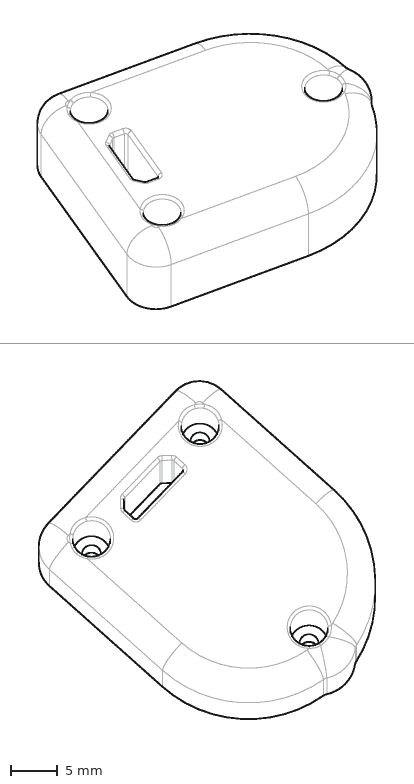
import cadquery as cq

width = 27.0
length = 34.0
height = 9.5
half_width = width / 2
arc_center_y = 19.92
corner_radius = 3.5
edge_radius = 3.0

lobe_radius = 4.0
lobe_center_y = length - lobe_radius
lobe_blend_radius = 1.0

screw_hole_diameter = 2.05
counterbore_diameter = 4.0
counterbore_depth = 6.5
rim_radius = 0.35
screw_half_spacing = 8.5
front_screw_y = 5.0
end_screw_y = 28.7
screw_positions = [
    (-screw_half_spacing, front_screw_y),
    (screw_half_spacing, front_screw_y),
    (0, end_screw_y),
]

slot_width = 7.58
slot_front_y = 4.5
slot_depth = 2.6
slot_corner_cut = 0.92
slot_corner_radius = 0.3
slot_rim_radius = 0.4


def make_body():
    """Outline with its semicircular end and blended lobe, extruded and rounded on top."""
    block = (
        cq.Workplane("XY")
        .moveTo(-half_width, 0)
        .lineTo(half_width, 0)
        .lineTo(half_width, arc_center_y)
        .threePointArc((0, arc_center_y + half_width), (-half_width, arc_center_y))
        .close()
        .extrude(height)
        .edges("|Z and <Y")
        .fillet(corner_radius)
    )
    lobe = (
        cq.Workplane("XY")
        .center(0, lobe_center_y)
        .circle(lobe_radius)
        .extrude(height)
    )
    body = block.union(lobe).edges("|Z").edges(">Y").fillet(lobe_blend_radius)
    return body.faces(">Z").edges().fillet(edge_radius)


def cut_slot(body):
    """Cut the connector slot right through and round its rim on the top face."""
    half_slot = slot_width / 2
    cut_y = slot_front_y + slot_corner_cut
    back_y = slot_front_y + slot_depth
    slot = (
        cq.Workplane("XY")
        .moveTo(-half_slot, back_y)
        .lineTo(half_slot, back_y)
        .lineTo(half_slot, cut_y)
        .lineTo(half_slot - slot_corner_cut, slot_front_y)
        .lineTo(slot_corner_cut - half_slot, slot_front_y)
        .lineTo(-half_slot, cut_y)
        .close()
        .extrude(height)
        .edges("|Z")
        .fillet(slot_corner_radius)
    )
    rim_zone = cq.selectors.BoxSelector(
        (-half_slot - slot_rim_radius, slot_front_y - slot_rim_radius, height - slot_rim_radius),
        (half_slot + slot_rim_radius, back_y + slot_rim_radius, height + slot_rim_radius),
    )
    return body.cut(slot).edges(rim_zone).fillet(slot_rim_radius)


def cut_screw_hole(body, x, y):
    """Drill one screw hole, counterbore it from the top and round the counterbore rim."""
    bore_radius = counterbore_diameter / 2
    bore = (
        cq.Workplane("XY", origin=(x, y, height - counterbore_depth))
        .circle(bore_radius)
        .extrude(counterbore_depth)
    )
    hole = (
        cq.Workplane("XY", origin=(x, y, 0))
        .circle(screw_hole_diameter / 2)
        .extrude(height)
    )
    zone_reach = bore_radius + rim_radius / 2
    rim_zone = cq.selectors.BoxSelector(
        (x - zone_reach, y - zone_reach, height - rim_radius),
        (x + zone_reach, y + zone_reach, height + rim_radius),
        boundingbox=True,
    )
    rim_edges = body.cut(bore).edges(rim_zone).edges(cq.selectors.RadiusNthSelector(-1))
    return rim_edges.fillet(rim_radius).cut(hole)


result = cut_slot(make_body())
for screw_x, screw_y in screw_positions:
    result = cut_screw_hole(result, screw_x, screw_y)